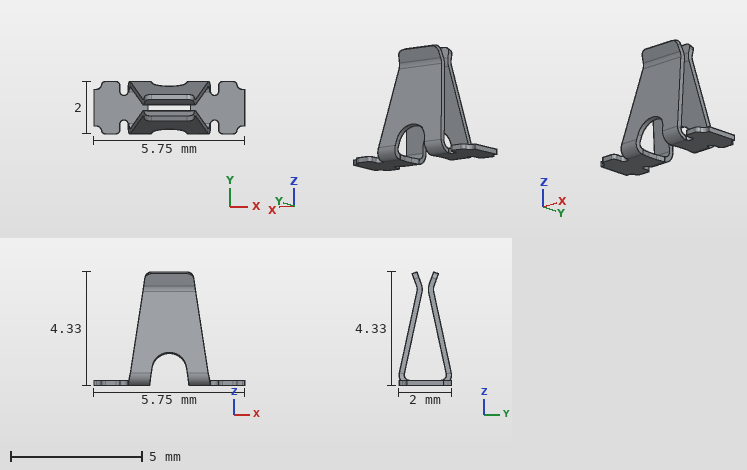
import cadquery as cq
import math

sheet = 0.2
length = 5.75
width = 2.0
height = 4.33

end_width = 1.405
tab_outer_flat_x = 2.43
tab_corner_radius = 0.15
end_hollow_radius = 0.2
notch_x = 1.725
notch_radius = 0.155
notch_end_y = 0.47
window_length = 1.61

bend_radius = 0.4
throat_radius = 0.4
arm_lean = math.radians(12.2)
lip_flare = math.radians(20)
lip_length = 0.49
lip_corner_radius = 0.26

root_half_width = 1.57
arm_half_width = 1.485
arm_taper = 0.15
arch_radius = 0.66
arch_top = 0.795
arch_flare = math.radians(8.5)

bend_y = width / 2 - bend_radius
arm_y = bend_y + bend_radius * math.cos(arm_lean)
arm_z = bend_radius + bend_radius * math.sin(arm_lean)
throat_outer = throat_radius + sheet
throat_z = height - lip_length * math.cos(lip_flare) - throat_outer * math.sin(lip_flare)
arm_length = (throat_z - throat_radius * math.sin(arm_lean) - arm_z) / math.cos(arm_lean)
throat_y = arm_y - arm_length * math.sin(arm_lean) + throat_radius * math.cos(arm_lean)

root_drop = arm_z * math.cos(arm_lean) - (arm_y - bend_y) * math.sin(arm_lean)


def polar(y, z, radius, angle):
    """Point at a radius and angle from a centre in the YZ plane."""
    return (y + radius * math.cos(angle), z + radius * math.sin(angle))


def arm_frame():
    """Plane on the outer face of the arm: x across, y up the arm from the bend."""
    normal = (0, math.cos(arm_lean), math.sin(arm_lean))
    return cq.Plane(origin=(0, arm_y, arm_z), xDir=(-1, 0, 0), normal=normal)


def arm_strip():
    """Constant-width strip with the side profile of the root bend, arm, throat and lip."""
    inner_bend = bend_radius - sheet
    bend_mid = (arm_lean - math.pi / 2) / 2
    throat_start = math.pi + arm_lean
    throat_end = math.pi - lip_flare
    throat_mid = (throat_start + throat_end) / 2
    lip_y = lip_length * math.sin(lip_flare)
    lip_z = lip_length * math.cos(lip_flare)
    lip_outer = polar(throat_y, throat_z, throat_radius, throat_end)
    lip_inner = polar(throat_y, throat_z, throat_outer, throat_end)
    return (
        cq.Workplane("YZ")
        .moveTo(bend_y, 0)
        .threePointArc(polar(bend_y, bend_radius, bend_radius, bend_mid), (arm_y, arm_z))
        .lineTo(*polar(throat_y, throat_z, throat_radius, throat_start))
        .threePointArc(polar(throat_y, throat_z, throat_radius, throat_mid), lip_outer)
        .lineTo(lip_outer[0] + lip_y, lip_outer[1] + lip_z)
        .lineTo(lip_inner[0] + lip_y, lip_inner[1] + lip_z)
        .lineTo(*lip_inner)
        .threePointArc(
            polar(throat_y, throat_z, throat_outer, throat_mid),
            polar(throat_y, throat_z, throat_outer, throat_start),
        )
        .lineTo(*polar(bend_y, bend_radius, inner_bend, arm_lean))
        .threePointArc(polar(bend_y, bend_radius, inner_bend, bend_mid), (bend_y, sheet))
        .close()
        .extrude(length / 2, both=True)
    )


def arm_blank():
    """Tapered outline of the arm, cut square to the arm's face."""
    bottom = -2 * root_drop
    bottom_half = arm_half_width + 2 * (root_half_width - arm_half_width)
    top_half = arm_half_width - arm_taper * height
    return (
        cq.Workplane(arm_frame())
        .polyline([
            (-bottom_half, bottom),
            (bottom_half, bottom),
            (arm_half_width, 0),
            (top_half, height),
            (-top_half, height),
            (-arm_half_width, 0),
        ])
        .close()
        .extrude(width, both=True)
    )


def arch_half_width(y):
    """Half width of the flared part of the arch at a place along the arm."""
    return arch_radius / math.cos(arch_flare) + (arch_top - arch_radius - y) * math.tan(arch_flare)


def arm_arch():
    """Round-topped opening with flared sides at the foot of the arm."""
    centre = arch_top - arch_radius
    tangent_x = arch_radius * math.cos(arch_flare)
    tangent_y = centre + arch_radius * math.sin(arch_flare)
    bottom = -2 * root_drop
    bottom_x = arch_half_width(bottom)
    return (
        cq.Workplane(arm_frame())
        .moveTo(-bottom_x, bottom)
        .lineTo(-tangent_x, tangent_y)
        .threePointArc((0, arch_top), (tangent_x, tangent_y))
        .lineTo(bottom_x, bottom)
        .close()
        .extrude(width, both=True)
    )


def make_arm():
    """The +Y spring arm."""
    arm = arm_strip().intersect(arm_blank()).cut(arm_arch())
    tip_corners = arm.faces(">Z").edges("<X or >X")
    return tip_corners.fillet(lip_corner_radius)


def base_quarter():
    """One quarter of the base, on the +X +Y side."""
    half_width = width / 2
    corner_y = half_width - tab_corner_radius
    hollow_y = end_width / 2 + end_hollow_radius
    spread = tab_corner_radius + end_hollow_radius
    swing = math.asin((hollow_y - corner_y) / spread)
    hollow_x = tab_outer_flat_x + spread * math.cos(swing)
    corner_mid = (swing + math.pi / 2) / 2
    hollow_mid = (math.pi + swing + 1.5 * math.pi) / 2
    notch_outer = notch_x + notch_radius
    notch_inner = notch_x - notch_radius
    notch_centre_y = notch_end_y + notch_radius
    corner_join = polar(tab_outer_flat_x, corner_y, tab_corner_radius, swing)
    return (
        cq.Workplane("XY")
        .lineTo(length / 2, 0)
        .lineTo(length / 2, end_width / 2)
        .lineTo(hollow_x, end_width / 2)
        .threePointArc(polar(hollow_x, hollow_y, end_hollow_radius, hollow_mid), corner_join)
        .threePointArc(
            polar(tab_outer_flat_x, corner_y, tab_corner_radius, corner_mid),
            (tab_outer_flat_x, half_width),
        )
        .lineTo(notch_outer + tab_corner_radius, half_width)
        .radiusArc((notch_outer, corner_y), -tab_corner_radius)
        .lineTo(notch_outer, notch_centre_y)
        .threePointArc((notch_x, notch_end_y), (notch_inner, notch_centre_y))
        .lineTo(notch_inner, bend_y)
        .lineTo(0, bend_y)
        .close()
        .extrude(sheet)
    )


def base_window():
    """Window between the arms, its sides narrowing to meet the arches at the bends."""
    half_length = window_length / 2
    mouth_half = arch_half_width(-root_drop)
    flare_y = bend_y - (half_length - mouth_half) / math.tan(arch_flare)
    return (
        cq.Workplane("XY")
        .polyline([
            (-half_length, -flare_y),
            (-mouth_half, -bend_y),
            (mouth_half, -bend_y),
            (half_length, -flare_y),
            (half_length, flare_y),
            (mouth_half, bend_y),
            (-mouth_half, bend_y),
            (-half_length, flare_y),
        ])
        .close()
        .extrude(sheet)
    )


def make_base():
    """Flat base with a tab at each end and a window in the middle."""
    quarter = base_quarter()
    half = quarter.union(quarter.mirror("XZ"))
    return half.union(half.mirror("YZ")).cut(base_window())


arm = make_arm()
result = make_base().union(arm).union(arm.mirror("XZ"))